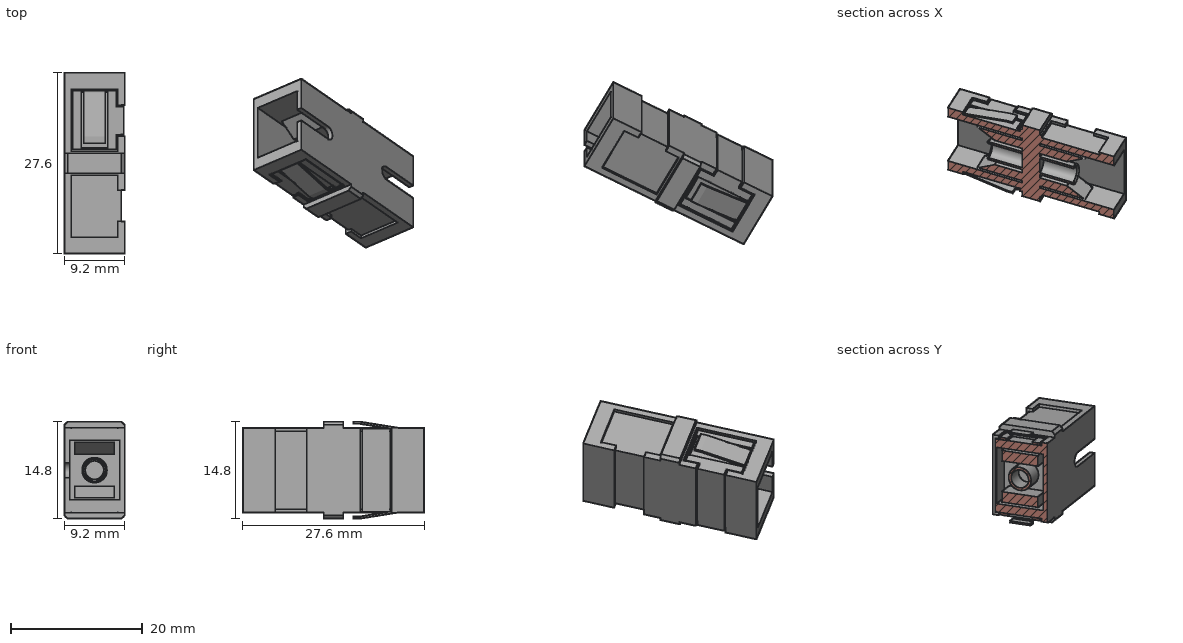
import cadquery as cq

body_width = 9.2
body_length = 27.55
body_height = 12.9
overall_height = 14.75

flange_length = 3.0
flange_chamfer = 0.5

cavity_width = 7.6
cavity_height = 9.03
web_thickness = flange_length

barrel_radius = 1.9
barrel_rim_radius = 1.68
barrel_bore_radius = 1.4
barrel_end = 7.27

latch_width = 5.95
latch_outer_z = 4.2
latch_inner_z = 2.45
latch_tip = 8.95
latch_ramp_length = 2.97

slot_width = 2.25
slot_depth = 7.68

recess_depth = 0.5
recess_width = 7.08
recess_start = 1.85
recess_end = 11.26
side_recess_start = 4.1
side_recess_end = 8.85

sheet_thickness = 0.35
clip_clearance = 0.25
window_width = 4.08
window_margin = 0.25
tongue_width = 3.3
tongue_bend = 4.05
tongue_tip = 3.03

half_width = body_width / 2
half_height = body_height / 2
recess_floor_z = half_height - recess_depth
recess_floor_x = half_width - recess_depth


def box_between(x_min, x_max, y_min, y_max, z_min, z_max):
    """Box given by its limits along each axis."""
    return (
        cq.Workplane("XY")
        .box(x_max - x_min, y_max - y_min, z_max - z_min, centered=False)
        .translate((x_min, y_min, z_min))
    )


def extrude_across(points, width):
    """Close a (Y, Z) outline and extrude it symmetrically along X."""
    return cq.Workplane("YZ").polyline(points).close().extrude(width / 2, both=True)


def mirrored_pair(shape, plane):
    """The shape together with its mirror image in a plane through the origin."""
    return shape.union(shape.mirror(plane))


def wrap_around(width, side_x, inner_x, y_range, side_y_range, inner_z, outer_z):
    """C-shaped layer: a plate above, a plate below and a narrower band joining them on the +X side."""
    half = width / 2
    plate = box_between(-half, half, *y_range, inner_z, outer_z)
    lug = box_between(0, side_x, *side_y_range, inner_z, outer_z)
    band = box_between(inner_x, side_x, *side_y_range, -outer_z, outer_z)
    return mirrored_pair(plate.union(lug), "XY").union(band)


def make_shell():
    """Outer block with the chamfered flange bars."""
    block = cq.Workplane("XY").box(body_width, body_length, body_height)
    flange = (
        cq.Workplane("XY")
        .box(body_width, flange_length, overall_height)
        .edges("|Y")
        .chamfer(flange_chamfer)
    )
    return block.union(flange)


def make_cavity():
    """Rectangular cavity open at the +Y end."""
    half = cavity_width / 2
    half_z = cavity_height / 2
    return box_between(-half, half, web_thickness / 2, body_length / 2, -half_z, half_z)


def make_barrel():
    """Blind barrel on the +Y side of the web, bevelled outside and inside to a sharp rim."""
    root = web_thickness / 2
    outer_bevel_start = barrel_end - (barrel_radius - barrel_rim_radius)
    inner_bevel_start = barrel_end - (barrel_rim_radius - barrel_bore_radius)
    return (
        cq.Workplane("XY")
        .moveTo(barrel_bore_radius, root)
        .lineTo(barrel_radius, root)
        .lineTo(barrel_radius, outer_bevel_start)
        .lineTo(barrel_rim_radius, barrel_end)
        .lineTo(barrel_bore_radius, inner_bevel_start)
        .close()
        .revolve(360, (0, 0, 0), (0, 1, 0))
    )


def make_latches():
    """Upper and lower latch arms on the +Y side of the web, with ramped tips."""
    root = web_thickness / 2
    arm = extrude_across(
        [
            (root, latch_outer_z),
            (latch_tip, latch_outer_z),
            (latch_tip - latch_ramp_length, latch_inner_z),
            (root, latch_inner_z),
        ],
        latch_width,
    )
    return mirrored_pair(arm, "XY")


def make_key_slot():
    """Round-ended slot through the -X wall, open at the +Y end."""
    radius = slot_width / 2
    slot_bottom = body_length / 2 - slot_depth
    round_centre = slot_bottom + radius
    wall = (body_width - cavity_width) / 2
    return (
        cq.Workplane("YZ", origin=(-half_width, 0, 0))
        .moveTo(body_length / 2, radius)
        .lineTo(round_centre, radius)
        .threePointArc((slot_bottom, 0), (round_centre, -radius))
        .lineTo(body_length / 2, -radius)
        .close()
        .extrude(wall)
    )


def make_clip_recess():
    """Recess wrapping the top, +X side and bottom of the +Y half."""
    return wrap_around(
        recess_width,
        half_width,
        recess_floor_x,
        (recess_start, recess_end),
        (side_recess_start, side_recess_end),
        recess_floor_z,
        half_height,
    )


def make_housing():
    """Both halves of the housing are mirror images in the middle plane."""
    housing = make_shell()
    for cut in (make_cavity(), make_key_slot(), make_clip_recess()):
        housing = housing.cut(mirrored_pair(cut, "XZ"))
    for boss in (make_barrel(), make_latches()):
        housing = housing.union(mirrored_pair(boss, "XZ"))
    return housing


def make_clip():
    """Sheet clip in the +Y recess, with a window and a sprung tongue above and below."""
    plate_start = recess_start + clip_clearance
    plate_end = recess_end - clip_clearance
    plate_top = recess_floor_z + sheet_thickness
    clip = wrap_around(
        recess_width - 2 * clip_clearance,
        recess_floor_x + sheet_thickness,
        recess_floor_x,
        (plate_start, plate_end),
        (side_recess_start + clip_clearance, side_recess_end - clip_clearance),
        recess_floor_z,
        plate_top,
    )

    window_end = plate_end - window_margin
    half_window = window_width / 2
    window = box_between(
        -half_window, half_window, plate_start + window_margin, window_end, recess_floor_z, plate_top
    )

    tongue_top = overall_height / 2
    tongue = extrude_across(
        [
            (plate_end, plate_top),
            (window_end, plate_top),
            (tongue_bend, tongue_top),
            (tongue_tip, tongue_top),
            (tongue_tip, tongue_top - sheet_thickness),
            (tongue_bend, tongue_top - sheet_thickness),
            (window_end, recess_floor_z),
            (plate_end, recess_floor_z),
        ],
        tongue_width,
    )
    return clip.cut(mirrored_pair(window, "XY")).union(mirrored_pair(tongue, "XY"))


housing = make_housing()
clip = make_clip()

result = cq.Compound.makeCompound([housing.val(), clip.val()])